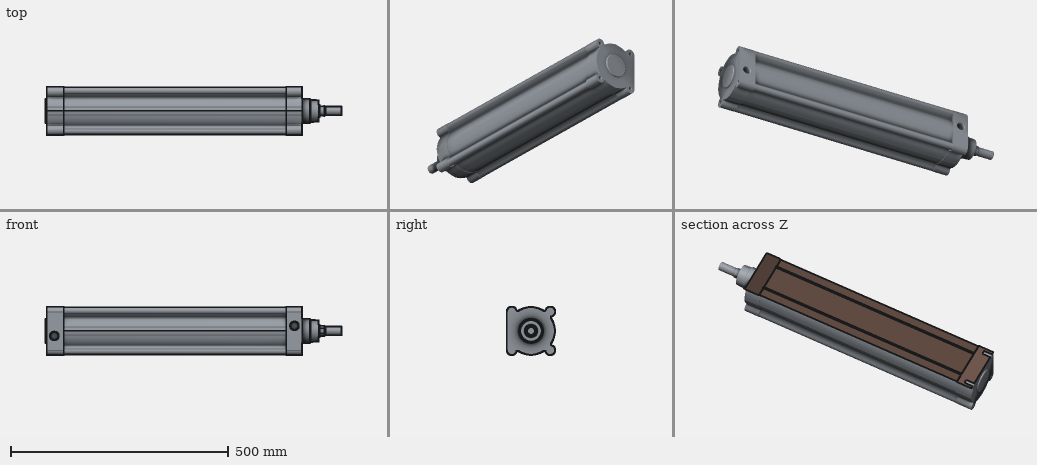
import cadquery as cq
import math


BOSS_START = 0.0
REAR_CAP_START = 3.5
BARREL_START = 42.5
FRONT_CAP_START = 554.5
NOSE_START = 591.5
NOSE_END = 609.0
WIPER_START = 611.0
WIPER_END = 630.0
LIP_END = 632.0
SHOULDER_START = 642.0
RELIEF_START = 644.0
THREAD_START = 646.0
ROD_END = 683.0

RIDGE_WIDTH = 18.5
RIDGE_RISE = 0.8

CAP_REACH = 56.0
CAP_RADIUS = CAP_REACH - RIDGE_RISE
LUG_OFFSET = 44.5
LUG_RADIUS = CAP_REACH - LUG_OFFSET
LUG_FILLET = 2.0
BOSS_RADIUS = 28.0
BOSS_CHAMFER = 1.5
SCREW_HOLE_RADIUS = 3.75
SCREW_HOLE_CHAMFER = 1.0
SCREW_HOLE_DEPTH = 20.5
PORT_RADIUS = 9.0
PORT_CHAMFER = 1.5
PORT_DEPTH = 20.5
PORT_SHIFT = 11.5
PORT_INSET = 18.0

BARREL_REACH = 54.5
BARREL_RADIUS = BARREL_REACH - RIDGE_RISE
RIB_RADIUS = 8.0
RIB_FILLET = 2.0
RIB_OFFSET = BARREL_REACH - RIB_RADIUS

NOSE_RADIUS = 28.0
WIPER_RADIUS = 26.0
WIPER_TIP_RADIUS = 24.5
LIP_RADIUS = 14.5

ROD_RADIUS = 12.0
WRENCH_HALF_WIDTH = 11.0
THREAD_RADIUS = 10.0
RELIEF_RADIUS = 9.5
THREAD_CHAMFER = 1.5

TOLERANCE = 0.01


def section(x):
    """Workplane across the cylinder axis: local x is +Y, local y is +Z, extrusion runs to +X."""
    return cq.Workplane("YZ", origin=(x, 0, 0))


def corners(offset):
    """The four (y, z) corner points of a square centred on the axis."""
    return [(y * offset, z * offset) for y in (-1, 1) for z in (-1, 1)]


def ridged_round(start, length, radius, ridge_angles):
    """Round bar with a pointed ridge at each angle, measured from +Y towards +Z."""
    bar = section(start).circle(radius).extrude(length)
    half_width = RIDGE_WIDTH / 2
    base = math.sqrt(radius**2 - half_width**2)
    peak = radius + RIDGE_RISE
    ridge = (
        section(start)
        .polyline([(0, 0), (base, -half_width), (peak, 0), (base, half_width)])
        .close()
        .extrude(length)
    )
    for angle in ridge_angles:
        bar = bar.union(ridge.rotate((0, 0, 0), (1, 0, 0), angle))
    return bar


def fillet_roots(body, radius, fillet):
    """Round the inner corners where outer features rise from a round body of this radius."""

    def is_root(edge):
        center = edge.Center()
        on_circle = abs(math.hypot(center.y, center.z) - radius) < TOLERANCE
        clear_of_ridges = min(abs(center.y), abs(center.z)) > RIDGE_WIDTH
        return on_circle and clear_of_ridges

    return body.newObject(body.edges("|X").filter(is_root).vals()).fillet(fillet)


def cap_blank(start, end):
    """End cap without its holes: ridged round body, four lugs and the port face block."""
    length = end - start
    lugs = section(start).pushPoints(corners(LUG_OFFSET)).circle(LUG_RADIUS).extrude(length)
    body = ridged_round(start, length, CAP_RADIUS, (-90, 0, 90)).union(lugs)
    body = fillet_roots(body, CAP_RADIUS, LUG_FILLET)
    port_block = section(start).center(-CAP_REACH / 2, 0).rect(CAP_REACH, 2 * LUG_OFFSET).extrude(length)
    return body.union(port_block)


def chamfered_hole(mouth, direction, radius, depth, chamfer):
    """Cutter for a blind hole with a chamfered mouth."""
    drill = cq.Solid.makeCylinder(radius, depth, mouth, direction)
    countersink = cq.Solid.makeCone(radius + chamfer, radius, chamfer, mouth, direction)
    return drill.fuse(countersink)


def port(x, z):
    """Cutter for an air port in the flat -Y face of a cap."""
    mouth = cq.Vector(x, -CAP_REACH, z)
    along_y = cq.Vector(0, 1, 0)
    return chamfered_hole(mouth, along_y, PORT_RADIUS, PORT_DEPTH, PORT_CHAMFER)


def make_rear_cap():
    cap = cap_blank(REAR_CAP_START, BARREL_START)
    boss = section(BOSS_START).circle(BOSS_RADIUS).extrude(REAR_CAP_START - BOSS_START)
    cap = cap.union(boss.faces("<X").chamfer(BOSS_CHAMFER))
    along_x = cq.Vector(1, 0, 0)
    for y, z in corners(LUG_OFFSET):
        mouth = cq.Vector(REAR_CAP_START, y, z)
        screw_hole = chamfered_hole(
            mouth, along_x, SCREW_HOLE_RADIUS, SCREW_HOLE_DEPTH, SCREW_HOLE_CHAMFER
        )
        cap = cap.cut(screw_hole)
    return cap.cut(port(REAR_CAP_START + PORT_INSET, -PORT_SHIFT))


def make_barrel():
    length = FRONT_CAP_START - BARREL_START
    barrel = ridged_round(BARREL_START, length, BARREL_RADIUS, (-90, 0, 90, 180))
    rib_pair_length = 2 * (RIB_OFFSET * math.sqrt(2) + RIB_RADIUS)
    for angle in (45, -45):
        rib_pair = section(BARREL_START).slot2D(rib_pair_length, 2 * RIB_RADIUS, angle).extrude(length)
        barrel = barrel.union(rib_pair)
    return fillet_roots(barrel, BARREL_RADIUS, RIB_FILLET)


def make_front_cap():
    nose = (
        cq.Workplane("XY")
        .moveTo(NOSE_START, 0)
        .lineTo(NOSE_START, NOSE_RADIUS)
        .lineTo(NOSE_END, NOSE_RADIUS)
        .lineTo(WIPER_START, WIPER_RADIUS)
        .lineTo(WIPER_END, WIPER_TIP_RADIUS)
        .lineTo(WIPER_END, LIP_RADIUS)
        .lineTo(LIP_END, LIP_RADIUS)
        .lineTo(LIP_END, 0)
        .close()
        .revolve(360, (0, 0, 0), (1, 0, 0))
    )
    rod_bore = section(FRONT_CAP_START).circle(ROD_RADIUS).extrude(LIP_END - FRONT_CAP_START)
    cap = cap_blank(FRONT_CAP_START, NOSE_START).union(nose)
    return cap.cut(rod_bore).cut(port(NOSE_START - PORT_INSET, PORT_SHIFT))


def make_rod():
    rod = (
        cq.Workplane("XY")
        .moveTo(FRONT_CAP_START, 0)
        .lineTo(FRONT_CAP_START, ROD_RADIUS)
        .lineTo(SHOULDER_START, ROD_RADIUS)
        .lineTo(RELIEF_START, THREAD_RADIUS)
        .lineTo(RELIEF_START, RELIEF_RADIUS)
        .lineTo(THREAD_START, RELIEF_RADIUS)
        .lineTo(THREAD_START, THREAD_RADIUS)
        .lineTo(ROD_END - THREAD_CHAMFER, THREAD_RADIUS)
        .lineTo(ROD_END, THREAD_RADIUS - THREAD_CHAMFER)
        .lineTo(ROD_END, 0)
        .close()
        .revolve(360, (0, 0, 0), (1, 0, 0))
    )
    for side in (-1, 1):
        flat = (
            section(LIP_END)
            .center(side * (WRENCH_HALF_WIDTH + ROD_RADIUS), 0)
            .rect(2 * ROD_RADIUS, 2 * ROD_RADIUS)
            .extrude(SHOULDER_START - LIP_END)
        )
        rod = rod.cut(flat)
    return rod


rear_cap = make_rear_cap()
barrel = make_barrel()
front_cap = make_front_cap()
rod = make_rod()

result = cq.Compound.makeCompound([rear_cap.val(), barrel.val(), front_cap.val(), rod.val()])